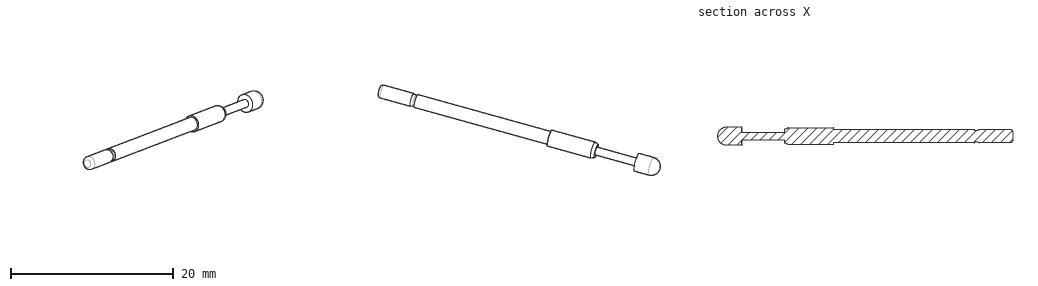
import cadquery as cq
import math

TOTAL_LENGTH = 36.3

HEAD_DIAMETER = 2.3
HEAD_LENGTH = 3.0

PLUNGER_DIAMETER = 1.0

SLEEVE_DIAMETER = 2.07
SLEEVE_START = 8.25
SLEEVE_LENGTH = 6.03
SLEEVE_TAPER_LENGTH = 0.45
SLEEVE_TAPER_DEPTH = 0.18

BARREL_DIAMETER = 1.67
TAIL_ROUND_RADIUS = 0.35
GROOVE_START = 31.55
GROOVE_FRONT_LENGTH = 0.2
GROOVE_BACK_LENGTH = 0.33
GROOVE_FRONT_RADIUS = 0.35
GROOVE_DEPTH = 0.12

TIP_Y = TOTAL_LENGTH / 2
HEAD_RADIUS = HEAD_DIAMETER / 2
BARREL_RADIUS = BARREL_DIAMETER / 2
SLEEVE_END = SLEEVE_START + SLEEVE_LENGTH


def rod(diameter, start, end):
    """Cylinder on the Y axis between two distances behind the tip."""
    base = cq.Workplane("XZ", origin=(0, TIP_Y - start, 0))
    return base.circle(diameter / 2).extrude(end - start)


def make_head():
    """Cylinder with a hemispherical tip."""
    shoulder_y = TIP_Y - HEAD_RADIUS
    dome = cq.Workplane("XY").sphere(HEAD_RADIUS).translate((0, shoulder_y, 0))
    return rod(HEAD_DIAMETER, HEAD_RADIUS, HEAD_LENGTH).union(dome)


def make_sleeve():
    """Cylinder with a conical taper at its front end."""
    sleeve = rod(SLEEVE_DIAMETER, SLEEVE_START, SLEEVE_END)
    front_edge = sleeve.faces(">Y").edges()
    return front_edge.chamfer(SLEEVE_TAPER_LENGTH, SLEEVE_TAPER_DEPTH)


def make_groove_cutter():
    """Ring with a low square front wall and two hollow arcs that meet at the deepest point."""
    floor_radius = BARREL_RADIUS - GROOVE_DEPTH
    front_y = TIP_Y - GROOVE_START
    floor_y = front_y - GROOVE_FRONT_LENGTH
    back_y = floor_y - GROOVE_BACK_LENGTH
    front_rise = GROOVE_FRONT_RADIUS - math.sqrt(GROOVE_FRONT_RADIUS**2 - GROOVE_FRONT_LENGTH**2)
    return (
        cq.Workplane("XY")
        .moveTo(BARREL_RADIUS, front_y)
        .lineTo(floor_radius + front_rise, front_y)
        .radiusArc((floor_radius, floor_y), -GROOVE_FRONT_RADIUS)
        .tangentArcPoint((BARREL_RADIUS, back_y), relative=False)
        .close()
        .revolve(360, (0, 0, 0), (0, 1, 0))
    )


def make_barrel():
    """Long cylinder with a rounded tail edge and a groove near the tail."""
    barrel = rod(BARREL_DIAMETER, SLEEVE_START, TOTAL_LENGTH)
    barrel = barrel.faces("<Y").edges().fillet(TAIL_ROUND_RADIUS)
    return barrel.cut(make_groove_cutter())


plunger = rod(PLUNGER_DIAMETER, HEAD_RADIUS, SLEEVE_END)
result = make_head().union(plunger).union(make_sleeve()).union(make_barrel())